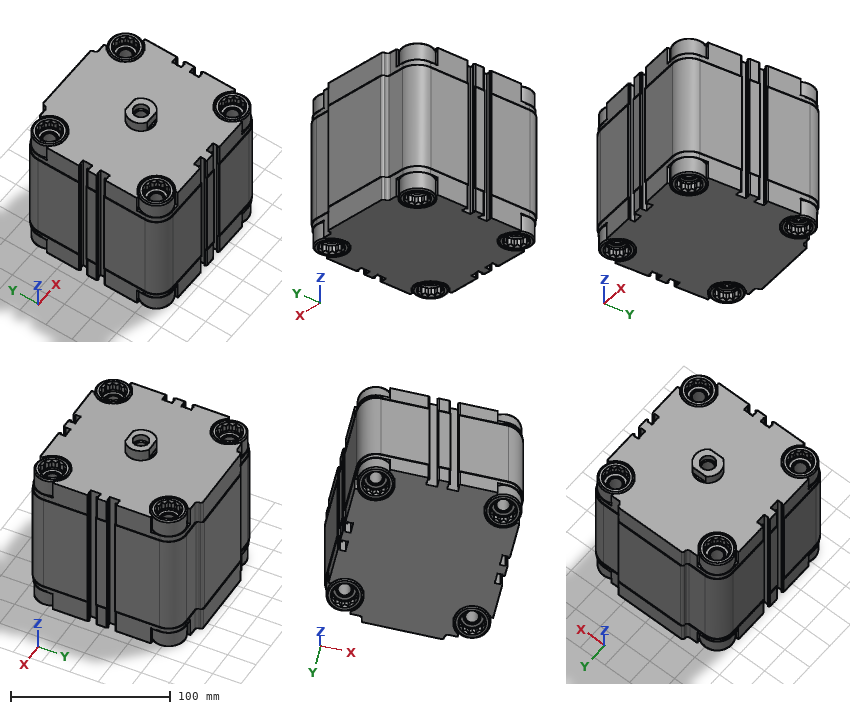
import cadquery as cq
import math

side = 107.0
housing_height = 106.0
cap_height = 16.5
cap_inset = 0.5
screw_offset = 41.0

ridge_height = 4.0
ridge_base_half_width = 26.9
ridge_top_half_width = 26.2
ridge_large_fillet = 2.0
ridge_small_fillet = 1.5

slot_offset = 6.7
slot_neck_width = 5.0
slot_inner_width = 7.0
slot_lip = 1.9
slot_depth = 5.5
clearance = 1.1
slot_mouth_depth = 0.5
profile_mouth_bevel = 0.5
cap_mouth_bevel = 1.0

recess_depth = 12.5
recess_wall = 34.7
head_diameter = 23.0
head_chamfer = 1.0
bolt_hole_diameter = 8.5
floor_recess_diameter = 10.0
floor_recess_mouth_diameter = 11.0

socket_point_diameter = 16.5
socket_mouth_diameter = 17.4
socket_mouth_depth = 2.3
socket_depth = 6.0
socket_relief_diameter = 15.4
socket_floor_depth = 7.6

rod_diameter = 20.0
rod_projection = 8.0
rod_embedded = 25.1
flat_spacing = 17.0
flat_length = 7.0
rod_bore_diameter = 10.5
rod_bore_depth = 4.7
rod_drill_diameter = 8.5
rod_drill_depth = 20.5
drill_tip_angle = 118.0

half_side = side / 2
screw_points = [(sx * screw_offset, sy * screw_offset) for sx in (-1, 1) for sy in (-1, 1)]


def tapered_mouth(mouth_diameter, inner_diameter, depth, top_z):
    """A cone to cut, with its wide end up at top_z."""
    base = cq.Vector(0, 0, top_z - depth)
    return cq.Workplane(cq.Solid.makeCone(inner_diameter / 2, mouth_diameter / 2, depth, base))


def ridge_half_width(y):
    """Half width of the ridge between its sloping flanks at a given Y."""
    slope = (ridge_base_half_width - ridge_top_half_width) / ridge_height
    return ridge_base_half_width - slope * (y - half_side)


def slot_cutter(face, bevel, height):
    """One T-slot centred on X = 0, cut from the -Y side whose face lies at Y = -face."""
    neck = slot_neck_width / 2
    inner = slot_inner_width / 2
    lip_y = slot_lip - half_side
    floor_y = slot_depth - half_side
    right_half = [
        (neck + bevel, -face),
        (neck, slot_mouth_depth - face),
        (neck, lip_y),
        (inner, lip_y),
        (inner, floor_y),
    ]
    left_half = [(-x, y) for x, y in reversed(right_half)]
    outside = [(-neck - bevel, -half_side - clearance), (neck + bevel, -half_side - clearance)]
    return cq.Workplane("XY").polyline(right_half + left_half + outside).close().extrude(height)


def block(inset, height, top_fillet, base_fillet, mouth_bevel):
    """A length of the housing profile, with its faces set in by the given amount."""
    face = half_side - inset
    ridge_top = face + ridge_height
    body = cq.Workplane("XY").rect(2 * face, 2 * face).extrude(height)
    body = body.edges("|Z").fillet(face - screw_offset)

    ridge_points = [
        (-ridge_half_width(ridge_top), ridge_top),
        (ridge_half_width(ridge_top), ridge_top),
        (ridge_half_width(face), face),
        (ridge_half_width(face), 0),
        (-ridge_half_width(face), 0),
        (-ridge_half_width(face), face),
    ]
    ridge = cq.Workplane("XY").polyline(ridge_points).close().extrude(height)
    body = body.union(ridge.edges("|Z and >Y").fillet(top_fillet))
    for sign in (-1, 1):
        foot = (sign * ridge_half_width(face), face, height / 2)
        body = body.edges(cq.NearestToPointSelector(foot)).fillet(base_fillet)

    slot = slot_cutter(face, mouth_bevel, height)
    for angle in (-90, 0, 90):
        for offset in (-slot_offset, slot_offset):
            body = body.cut(slot.translate((offset, 0, 0)).rotate((0, 0, 0), (0, 0, 1), angle))
    return body


def screw_head():
    """A screw head standing on Z = 0, with a twelve-point socket in its top."""
    head = cq.Workplane("XY").circle(head_diameter / 2).extrude(recess_depth)
    head = head.faces(">Z").chamfer(head_chamfer)

    top = cq.Workplane("XY", origin=(0, 0, recess_depth))
    hexagon = top.polygon(6, socket_point_diameter).extrude(-socket_depth)
    socket = hexagon.union(hexagon.rotate((0, 0, 0), (0, 0, 1), 30))
    relief = top.workplane(offset=-socket_depth).circle(socket_relief_diameter / 2)
    socket = socket.union(relief.extrude(socket_depth - socket_floor_depth))
    across_flats = socket_point_diameter * math.cos(math.pi / 6)
    mouth = tapered_mouth(socket_mouth_diameter, across_flats, socket_mouth_depth, recess_depth)

    floor_recess_depth = (floor_recess_mouth_diameter - floor_recess_diameter) / 2
    floor_z = recess_depth - socket_floor_depth
    floor_recess = tapered_mouth(floor_recess_mouth_diameter, floor_recess_diameter, floor_recess_depth, floor_z)
    return head.cut(socket).cut(mouth).cut(floor_recess)


def end_cap():
    """The upper end cap standing on Z = 0, with its corner recesses and screw heads."""
    cap = block(cap_inset, cap_height, ridge_small_fillet, ridge_large_fillet, cap_mouth_bevel)
    floor_z = cap_height - recess_depth
    recess_radius = half_side - cap_inset - screw_offset
    corner_size = half_side - recess_wall
    corner_centre = (half_side + recess_wall) / 2
    floor = cq.Workplane("XY", origin=(0, 0, floor_z))
    corner_points = [(math.copysign(corner_centre, x), math.copysign(corner_centre, y)) for x, y in screw_points]

    cap = cap.cut(floor.pushPoints(screw_points).circle(recess_radius).extrude(recess_depth))
    cap = cap.cut(floor.pushPoints(corner_points).rect(corner_size, corner_size).extrude(recess_depth))
    head = screw_head()
    for x, y in screw_points:
        cap = cap.union(head.translate((x, y, floor_z)))
    return cap


def make_housing():
    profile_height = housing_height - 2 * cap_height
    profile = block(0, profile_height, ridge_large_fillet, ridge_small_fillet, profile_mouth_bevel)
    cap = end_cap()
    upper_cap = cap.translate((0, 0, housing_height - cap_height))
    lower_cap = cap.mirror("XY").translate((0, 0, cap_height))
    housing = profile.translate((0, 0, cap_height)).union(upper_cap).union(lower_cap)

    bolt_holes = cq.Workplane("XY").pushPoints(screw_points).circle(bolt_hole_diameter / 2)
    housing = housing.cut(bolt_holes.extrude(housing_height))

    rod_seat = cq.Workplane("XY", origin=(0, 0, housing_height)).circle(rod_diameter / 2)
    return housing.cut(rod_seat.extrude(-rod_embedded))


def make_rod():
    top_z = housing_height + rod_projection
    bottom_z = housing_height - rod_embedded
    rod = cq.Workplane("XY", origin=(0, 0, bottom_z)).circle(rod_diameter / 2).extrude(top_z - bottom_z)

    top = cq.Workplane("XY", origin=(0, 0, top_z))
    kept = top.rect(rod_diameter, flat_spacing).extrude(-flat_length)
    rod = rod.cut(top.rect(rod_diameter, rod_diameter).extrude(-flat_length).cut(kept))

    bore_radius = rod_bore_diameter / 2
    drill_radius = rod_drill_diameter / 2
    tip_slope = 1 / math.tan(math.radians(drill_tip_angle / 2))
    hole_points = [
        (0, top_z),
        (bore_radius, top_z),
        (bore_radius, top_z - rod_bore_depth),
        (drill_radius, top_z - rod_bore_depth - tip_slope * (bore_radius - drill_radius)),
        (drill_radius, top_z - rod_drill_depth),
        (0, top_z - rod_drill_depth - tip_slope * drill_radius),
    ]
    hole = cq.Workplane("XZ").polyline(hole_points).close().revolve(360, (0, 0, 0), (0, 1, 0))
    return rod.cut(hole)


housing = make_housing()
rod = make_rod()
result = cq.Compound.makeCompound([*housing.solids().vals(), rod.val()])